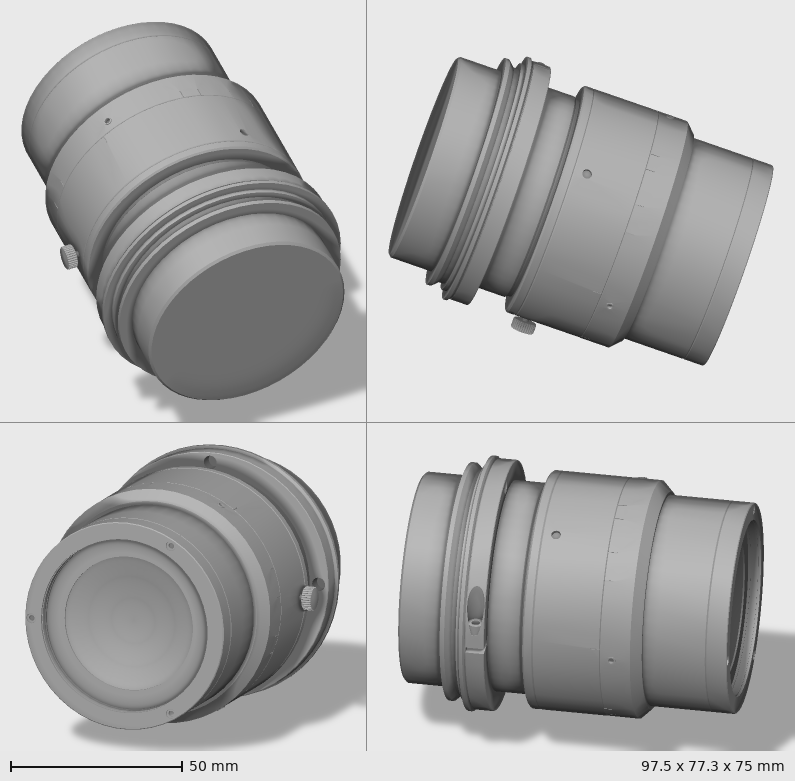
import cadquery as cq
import math

TOTAL_LENGTH = 97.52

BARREL_RADIUS = 31.0
FRONT_CHAMFER = 0.25
REAR_CHAMFER = 0.7
SLEEVE_RADIUS = 35.0
SLEEVE_START = 25.0
SLEEVE_END = 60.0
SLEEVE_FRONT_CHAMFER = 3.0
SLEEVE_REAR_CHAMFER = 0.5
NECK_RADIUS = 30.4
NECK_END = 61.0
NECK_CHAMFER = BARREL_RADIUS - NECK_RADIUS

COLLAR_RADIUS = 36.85
COLLAR_START = 71.0
COLLAR_CHAMFER = 0.2
COLLAR_END = 76.4
RELIEF_WIDTH = 0.3
RELIEF_DEPTH = 0.3
FLANGE_RADIUS = 37.5
FLANGE_START = 77.3
FLANGE_END = 78.4

MOUNT_RADIUS = 35.0
MOUNT_SHOULDER_END = 79.7
MOUNT_GROOVE_RADIUS = 33.2
DOVETAIL_START = 81.3
DOVETAIL_RIM_START = DOVETAIL_START + MOUNT_RADIUS - MOUNT_GROOVE_RADIUS
MOUNT_END = 84.4

GROOVE_DEPTH = 0.2
GROOVES = (
    (6.25, 0.5, BARREL_RADIUS),
    (37.0, 0.35, SLEEVE_RADIUS),
    (57.0, 0.6, SLEEVE_RADIUS),
)

RECESS_RADIUS = 26.0
RECESS_LIP_DEPTH = 0.8
RECESS_WALL_RADIUS = 25.8
RECESS_LEDGE_DEPTH = 3.0
RECESS_FLOOR_RADIUS = 25.6
RECESS_DEPTH = 3.7
LENS_RADIUS = 20.0
LENS_EDGE_DEPTH = 4.2
LENS_SAG = 3.6

FRONT_SCREW_CIRCLE = 29.0
FRONT_SCREW_DIAMETER = 3.0
FRONT_SCREW_SINK = 0.4
SOCKET_DIAMETER = 1.7
SOCKET_DEPTH = 1.2

THIRD_TURN = 120
SET_SCREW_X = 33.5
SET_SCREW_DIAMETER = 2.5
SET_SCREW_PROUD = 0.3
LOCK_X = 53.0
LOCK_HOLE_DIAMETER = 2.8
LOCK_HOLE_DEPTH = 1.2

KNOB_TIP_RADIUS = 39.77
KNOB_BASE_RADIUS = 36.4
KNOB_DIAMETER = 7.0
KNOB_DOME = 0.45
KNOB_CHAMFER = 0.2
STEM_DIAMETER = 2.0
KNURL_COUNT = 32
KNURL_DIAMETER = 0.55

SCALE_ANGLES = (20.6, 6.4, -12.5, -21.8)
INDEX_ANGLE = 54.6
TICK_WIDTH = 0.3
TICK_DEPTH = 0.2
SCALE_TICK_START = 34.2
SCALE_TICK_END = 37.0
INDEX_TICK_END = 39.8

SLIT_WIDTH = 1.7
CLAMP_X = 73.8
CLAMP_Y = 34.1
CLAMP_BORE_DIAMETER = 5.1
CLAMP_SEAT_Z = 5.0
CLAMP_HEAD_DIAMETER = 4.5
CLAMP_HEAD_HEIGHT = 3.0
CLAMP_SOCKET_DIAMETER = 2.5
COLLAR_HOLE_CIRCLE = 33.8
COLLAR_HOLE_DIAMETER = 4.0
COLLAR_HOLE_DEPTH = 4.0
COLLAR_HOLE_ANGLES = (0, 90)


def make_body():
    """Turn the outer profile, the front recess and the lens surface."""
    relief_end = COLLAR_END + RELIEF_WIDTH
    relief_radius = COLLAR_RADIUS - RELIEF_DEPTH
    lens_mid_radius = LENS_RADIUS / 2
    sphere_radius = (LENS_RADIUS**2 + LENS_SAG**2) / (2 * LENS_SAG)
    lens_center_x = LENS_EDGE_DEPTH + LENS_SAG
    sphere_center = lens_center_x - sphere_radius
    lens_mid_x = sphere_center + math.sqrt(sphere_radius**2 - lens_mid_radius**2)
    profile = (
        cq.Workplane("XY")
        .moveTo(lens_center_x, 0)
        .threePointArc((lens_mid_x, lens_mid_radius), (LENS_EDGE_DEPTH, LENS_RADIUS))
        .lineTo(RECESS_DEPTH, LENS_RADIUS)
        .lineTo(RECESS_DEPTH, RECESS_FLOOR_RADIUS)
        .lineTo(RECESS_LEDGE_DEPTH, RECESS_FLOOR_RADIUS)
        .lineTo(RECESS_LEDGE_DEPTH, RECESS_WALL_RADIUS)
        .lineTo(RECESS_LIP_DEPTH, RECESS_WALL_RADIUS)
        .lineTo(RECESS_LIP_DEPTH, RECESS_RADIUS)
        .lineTo(0, RECESS_RADIUS)
        .lineTo(0, BARREL_RADIUS - FRONT_CHAMFER)
        .lineTo(FRONT_CHAMFER, BARREL_RADIUS)
        .lineTo(SLEEVE_START, BARREL_RADIUS)
        .lineTo(SLEEVE_START, SLEEVE_RADIUS - SLEEVE_FRONT_CHAMFER)
        .lineTo(SLEEVE_START + SLEEVE_FRONT_CHAMFER, SLEEVE_RADIUS)
        .lineTo(SLEEVE_END - SLEEVE_REAR_CHAMFER, SLEEVE_RADIUS)
        .lineTo(SLEEVE_END, SLEEVE_RADIUS - SLEEVE_REAR_CHAMFER)
        .lineTo(SLEEVE_END, NECK_RADIUS)
        .lineTo(NECK_END, NECK_RADIUS)
        .lineTo(NECK_END + NECK_CHAMFER, BARREL_RADIUS)
        .lineTo(COLLAR_START, BARREL_RADIUS)
        .lineTo(COLLAR_START, COLLAR_RADIUS - COLLAR_CHAMFER)
        .lineTo(COLLAR_START + COLLAR_CHAMFER, COLLAR_RADIUS)
        .lineTo(COLLAR_END, COLLAR_RADIUS)
        .lineTo(COLLAR_END, relief_radius)
        .lineTo(relief_end, relief_radius)
        .lineTo(FLANGE_START, FLANGE_RADIUS)
        .lineTo(FLANGE_END, FLANGE_RADIUS)
        .lineTo(FLANGE_END, MOUNT_RADIUS)
        .lineTo(MOUNT_SHOULDER_END, MOUNT_RADIUS)
        .lineTo(MOUNT_SHOULDER_END, MOUNT_GROOVE_RADIUS)
        .lineTo(DOVETAIL_START, MOUNT_GROOVE_RADIUS)
        .lineTo(DOVETAIL_RIM_START, MOUNT_RADIUS)
        .lineTo(MOUNT_END, MOUNT_RADIUS)
        .lineTo(MOUNT_END, BARREL_RADIUS)
        .lineTo(TOTAL_LENGTH - REAR_CHAMFER, BARREL_RADIUS)
        .lineTo(TOTAL_LENGTH, BARREL_RADIUS - REAR_CHAMFER)
        .lineTo(TOTAL_LENGTH, 0)
        .close()
    )
    return profile.revolve(360, (0, 0, 0), (1, 0, 0))


def axial_cylinder(start_x, length, diameter, y=0, z=0):
    """Cylinder along +X."""
    return cq.Workplane("YZ", origin=(start_x, y, z)).circle(diameter / 2).extrude(length)


def radial_cylinder(x, inner_radius, outer_radius, diameter, angle):
    """Cylinder pointing away from the axis, at an angle from -Y towards +Z."""
    upright = (
        cq.Workplane("XZ", origin=(x, -inner_radius, 0))
        .circle(diameter / 2)
        .extrude(outer_radius - inner_radius)
    )
    return turn(upright, angle)


def turn(shape, angle):
    """Turn a shape built on the -Y side by an angle towards +Z."""
    return shape.rotate((0, 0, 0), (1, 0, 0), -angle)


def cut_grooves(body):
    for center_x, width, radius in GROOVES:
        section = (
            cq.Workplane("XY")
            .moveTo(center_x - width / 2, radius)
            .lineTo(center_x, radius - GROOVE_DEPTH)
            .lineTo(center_x + width / 2, radius)
            .close()
        )
        body = body.cut(section.revolve(360, (0, 0, 0), (1, 0, 0)))
    return body


def cut_front_screws(body):
    """Sunk screws with drive sockets; one lies on +Y."""
    for i in range(360 // THIRD_TURN):
        angle = math.radians(i * THIRD_TURN)
        y = FRONT_SCREW_CIRCLE * math.cos(angle)
        z = FRONT_SCREW_CIRCLE * math.sin(angle)
        sink = axial_cylinder(0, FRONT_SCREW_SINK, FRONT_SCREW_DIAMETER, y, z)
        socket = axial_cylinder(0, SOCKET_DEPTH, SOCKET_DIAMETER, y, z)
        body = body.cut(sink).cut(socket)
    return body


def add_set_screws(body):
    """Slightly proud set screws in the front part of the sleeve; one lies on +Y."""
    tip_radius = SLEEVE_RADIUS + SET_SCREW_PROUD
    for i in range(360 // THIRD_TURN):
        angle = 180 + i * THIRD_TURN
        screw = radial_cylinder(SET_SCREW_X, BARREL_RADIUS, tip_radius, SET_SCREW_DIAMETER, angle)
        socket = radial_cylinder(
            SET_SCREW_X, tip_radius - SOCKET_DEPTH, tip_radius, SOCKET_DIAMETER, angle
        )
        body = body.union(screw).cut(socket)
    return body


def cut_lock_holes(body):
    """The two free lock holes; the knob fills the third position on -Y."""
    floor_radius = SLEEVE_RADIUS - LOCK_HOLE_DEPTH
    for angle in (THIRD_TURN, -THIRD_TURN):
        hole = radial_cylinder(LOCK_X, floor_radius, FLANGE_RADIUS, LOCK_HOLE_DIAMETER, angle)
        body = body.cut(hole)
    return body


def make_knob():
    """Knurled knob with a domed end and a thin stem, on the -Y side."""
    outer_radius = KNOB_DIAMETER / 2
    rim_radius = outer_radius - KNOB_CHAMFER
    dome_base = KNOB_TIP_RADIUS - KNOB_DOME
    sphere_radius = (rim_radius**2 + KNOB_DOME**2) / (2 * KNOB_DOME)
    sphere_center = KNOB_TIP_RADIUS - sphere_radius
    dome_mid = rim_radius / 2
    dome_mid_height = sphere_center + math.sqrt(sphere_radius**2 - dome_mid**2)
    section = (
        cq.Workplane("XY")
        .moveTo(0, -KNOB_BASE_RADIUS)
        .lineTo(rim_radius, -KNOB_BASE_RADIUS)
        .lineTo(outer_radius, -KNOB_BASE_RADIUS - KNOB_CHAMFER)
        .lineTo(outer_radius, -dome_base + KNOB_CHAMFER)
        .lineTo(rim_radius, -dome_base)
        .threePointArc((dome_mid, -dome_mid_height), (0, -KNOB_TIP_RADIUS))
        .close()
    )
    head = section.revolve(360, (0, 0, 0), (0, 1, 0)).translate((LOCK_X, 0, 0))
    flutes = (
        cq.Workplane("XZ", origin=(LOCK_X, -KNOB_BASE_RADIUS, 0))
        .polarArray(outer_radius, 0, 360, KNURL_COUNT)
        .circle(KNURL_DIAMETER / 2)
        .extrude(KNOB_TIP_RADIUS - KNOB_BASE_RADIUS)
    )
    stem_root = SLEEVE_RADIUS - LOCK_HOLE_DEPTH
    stem = radial_cylinder(LOCK_X, stem_root, KNOB_BASE_RADIUS, STEM_DIAMETER, 0)
    return head.cut(flutes).union(stem)


def cut_tick(body, start_x, end_x, angle):
    """Engrave one tick along X in the sleeve surface."""
    tick = cq.Workplane("XY").box(end_x - start_x, 2 * TICK_DEPTH, TICK_WIDTH)
    tick = tick.translate(((start_x + end_x) / 2, -SLEEVE_RADIUS, 0))
    return body.cut(turn(tick, angle))


def cut_scale(body):
    for i in range(360 // THIRD_TURN):
        base_angle = i * THIRD_TURN
        for scale_angle in SCALE_ANGLES:
            body = cut_tick(body, SCALE_TICK_START, SCALE_TICK_END, base_angle + scale_angle)
        body = cut_tick(body, SCALE_TICK_END, INDEX_TICK_END, base_angle + INDEX_ANGLE)
    return body


def cut_clamp(body):
    """Slit on +Y and a clamp screw head in a counterbore along Z."""
    slit_height = FLANGE_RADIUS - BARREL_RADIUS
    slit = cq.Workplane("XY").box(
        COLLAR_END - COLLAR_START, slit_height, SLIT_WIDTH, centered=(False, False, True)
    )
    body = body.cut(slit.translate((COLLAR_START, BARREL_RADIUS, 0)))
    seat = cq.Workplane("XY", origin=(CLAMP_X, CLAMP_Y, CLAMP_SEAT_Z))
    bore = seat.circle(CLAMP_BORE_DIAMETER / 2).extrude(FLANGE_RADIUS - CLAMP_SEAT_Z)
    head = seat.circle(CLAMP_HEAD_DIAMETER / 2).extrude(CLAMP_HEAD_HEIGHT)
    socket_plane = seat.workplane(offset=CLAMP_HEAD_HEIGHT - SOCKET_DEPTH)
    socket = socket_plane.circle(CLAMP_SOCKET_DIAMETER / 2).extrude(SOCKET_DEPTH)
    return body.cut(bore).union(head.cut(socket))


def cut_collar_holes(body):
    for degrees in COLLAR_HOLE_ANGLES:
        angle = math.radians(degrees)
        y = -COLLAR_HOLE_CIRCLE * math.cos(angle)
        z = COLLAR_HOLE_CIRCLE * math.sin(angle)
        hole = axial_cylinder(COLLAR_START, COLLAR_HOLE_DEPTH, COLLAR_HOLE_DIAMETER, y, z)
        body = body.cut(hole)
    return body


result = make_body()
result = cut_grooves(result)
result = cut_front_screws(result)
result = add_set_screws(result)
result = cut_lock_holes(result)
result = cut_scale(result)
result = cut_clamp(result)
result = cut_collar_holes(result)
result = result.union(make_knob())